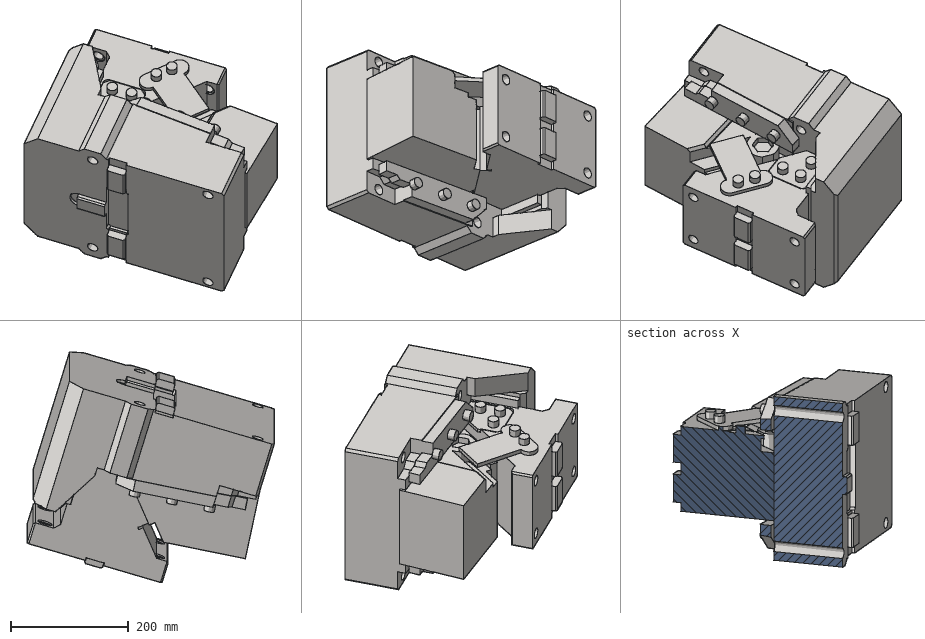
import cadquery as cq
import math


WAY_TILT = 5
PUSH_TILT = 40
UNIT_LENGTH = 378.5
MOVING_HALF = 75.5
HEAD_RADIUS = 9.0
HEAD_HEIGHT = 12.5
KEY_CHAMFER = 2.5
KEY_WIDTH = 32.0
KEY_STANDOUT = 8.7
KEYWAY_DEPTH = 5.0

BASE_LENGTH = 364.0
BASE_HALF = 134.7
LEFT_CHAMFER = 25.0
RIGHT_CHAMFER = 4.5
FLOOR_Y = 125.5
CHEEK_TOP_Y = 219.5
BOSS_START_X, BOSS_END_X = 99.5, 150.0
BOSS_RISE = 10.2
WAY_START_X = BOSS_END_X
WAY_START_Y = 128.0
CHEEK_CREST_X = 41.3
CHEEK_FOOT_X, CHEEK_FOOT_Y = 87.5, 139.5
CHEEK_CHAMFER = 5.0
POCKET_HALF = 98.5
POCKET_LEAD_X = 49.5
POCKET_WALL_X = 55.5
WEAR_PAD_WIDTH = 10.0
WEAR_PAD_TOP_Y = 210.0
WEAR_PAD_HALF = 91
MOUNT_HOLE_DIAMETER = 18.5
MOUNT_HOLE_X = (125, 334.5)
MOUNT_HOLE_Z = 120.0
KEYWAY_X = 169.5
BASE_KEY_START_Z, BASE_KEY_END_Z = 64.5, 116.0
CENTRE_POCKET_WIDTH = 39.7
CENTRE_POCKET_HEIGHT = 118.0
CENTRE_POCKET_DEPTH = 10.0
CENTRE_POCKET_CHAMFER = 4.0

SEAT_START_X = 140
GIB_INNER_Z = 83.3
GIB_OUTER_Z = 133.2
GIB_THICKNESS = 20.0
GIB_START = -24.2
GIB_END = 201.0
GIB_CHAMFER = 30.3
GIB_BOLT_Z = 109.8
GIB_BOLT_STATIONS = (10.5, 75.5, 140.5)
NOTCH_START_X = 295.5
NOTCH_Y = 95.0
BASE_NOTCH_UPPER_Z, BASE_NOTCH_LOWER_Z = 106, 95.5
GIB_NOTCH_UPPER_Z, GIB_NOTCH_LOWER_Z = 109.5, 102
NOTCH_STEP_X = 321.7

DRIVER_TOP_Y = 299.7
FLANGE_START_X, FLANGE_END_X = 15, 255.0
FLANGE_Y = 261
FLANGE_CHAMFER = 3.0
NECK_X = 60.0
NECK_FLARE = 9.5
FLANGE_HOLE_X = 35.2
FLANGE_HOLE_Z = 53.7
FLANGE_HOLE_RADIUS = 9.0
SPOTFACE_RADIUS = 12.5
SPOTFACE_DEPTH = 2.5
DRIVER_KEYWAY_X = 135.0
DRIVER_KEY_TOP_Y = 308.5
DRIVER_KEY_START_Z, DRIVER_KEY_END_Z = 10.2, 60.0
PLATE_THICKNESS = 7.2

HOOK_CENTRE_X, HOOK_CENTRE_Y = 162.0, 245.2
DRIVER_LOWER_FACE = 36.5
DRIVER_UPPER_FACE = 44.5
PUSH_FACE = 56.0
SLIDE_UPPER_FACE = 66.2
SLIDE_LEDGE = 81.0
HOOK_LENGTH = 102
SLIDE_RECESS = 106
WEAR_STRIP_END = -3.8

HOOK_HEAD_RADIUS = 15.5
HOOK_HEAD_SPACING = 61.5
HOOK_WIDTH = 60.5
HOOK_BOLT_SPACING = 30.3

FOOT_PLATE_START_X, FOOT_PLATE_END_X = 69.3, 145.7
FOOT_PLATE_TOP_Y = 206.0
FOOT_PLATE_FACE = 39.7
FOOT_RECESS_Z, FOOT_PLATE_Z = 68, 73.8
FOOT_CORNER = 9.0
FOOT_BOLTS = ((90.0, 186.0), (125.3, 186.0), (90.0, 150.5))

SLIDE_BACK_Y = 218.5
SLIDE_LIP_Y = 99.0
SLIDE_START_X = 153.3
RECESS_Z = 45.5
LEDGE_Z = 38
SHELF_Z = 68
SHELF_BEVEL = 5.0
SHELF_START_X = 216.5
SHELF_END_X, SHELF_END_Y = 266.0, 205.0
PLUG_X, PLUG_Y = 187.0, 147.5
PLUG_RADIUS = 27.5
PLUG_TOP_Z = 68
SOCKET_WIDTH = 36.0
SOCKET_DEPTH = 11.5

WAY_SLOPE = math.tan(math.radians(WAY_TILT))
PUSH = cq.Vector(math.cos(math.radians(PUSH_TILT)), -math.sin(math.radians(PUSH_TILT)), 0)
ACROSS = cq.Vector(-PUSH.y, PUSH.x, 0)
WAY = cq.Vector(math.cos(math.radians(WAY_TILT)), -math.sin(math.radians(WAY_TILT)), 0)
BEYOND = 2 * UNIT_LENGTH


def push_point(along, across):
    """Point in XY given along and across the push direction."""
    return (
        HOOK_CENTRE_X + along * PUSH.x + across * ACROSS.x,
        HOOK_CENTRE_Y + along * PUSH.y + across * ACROSS.y,
    )


def push_point_at_y(along, y):
    """Point of a push face at a given height Y."""
    across = (y - HOOK_CENTRE_Y - along * PUSH.y) / ACROSS.y
    return push_point(along, across)


def push_point_at_x(along, x):
    """Point of a push face at a given X."""
    across = (x - HOOK_CENTRE_X - along * PUSH.x) / ACROSS.x
    return push_point(along, across)


def way_y(x):
    """Height of the tilted way at X."""
    return WAY_START_Y - (x - WAY_START_X) * WAY_SLOPE


def prism_z(points, low, high):
    """Closed XY outline raised from Z = low to Z = high."""
    return cq.Workplane("XY").workplane(offset=low).polyline(points).close().extrude(high - low)


def prism_y(points, low, high):
    """Closed XZ outline carried from Y = low to Y = high."""
    return cq.Workplane("XZ", origin=(0, low, 0)).polyline(points).close().extrude(low - high)


def box(x_range, y_range, z_range):
    """Box between the given limits."""
    (x0, x1), (y0, y1), (z0, z1) = x_range, y_range, z_range
    return cq.Workplane("XY").box(x1 - x0, y1 - y0, z1 - z0, centered=False).translate((x0, y0, z0))


def with_mirror(half):
    """Add the copy mirrored about Z = 0."""
    return half.union(half.mirror("XY"))


def bolt_heads(points, z):
    """Round heads that rise in Z."""
    return cq.Workplane("XY").workplane(offset=z).pushPoints(points).circle(HEAD_RADIUS).extrude(HEAD_HEIGHT)


def base_block():
    boss_half = BASE_HALF + BOSS_RISE
    upper = [
        (0, BASE_HALF - LEFT_CHAMFER),
        (LEFT_CHAMFER, BASE_HALF),
        (BASE_LENGTH - RIGHT_CHAMFER, BASE_HALF),
        (BASE_LENGTH, BASE_HALF - RIGHT_CHAMFER),
    ]
    front_outline = upper + [(x, -z) for x, z in reversed(upper)]
    side_outline = [
        (0, 0),
        (BASE_LENGTH, 0),
        (BASE_LENGTH, way_y(BASE_LENGTH)),
        (WAY_START_X, WAY_START_Y),
        (WAY_START_X, FLOOR_Y),
        (CHEEK_FOOT_X, FLOOR_Y),
        (CHEEK_FOOT_X, CHEEK_FOOT_Y),
        (CHEEK_CREST_X, CHEEK_TOP_Y),
        (CHEEK_CHAMFER, CHEEK_TOP_Y),
        (0, CHEEK_TOP_Y - CHEEK_CHAMFER),
    ]
    block = prism_y(front_outline, 0, CHEEK_TOP_Y)
    block = block.intersect(prism_z(side_outline, -BASE_HALF, BASE_HALF))
    boss_outline = [
        (BOSS_START_X, BASE_HALF),
        (BOSS_START_X + BOSS_RISE, boss_half),
        (BOSS_END_X - BOSS_RISE, boss_half),
        (BOSS_END_X, BASE_HALF),
        (BOSS_END_X, 0),
        (BOSS_START_X, 0),
    ]
    return block.union(with_mirror(prism_y(boss_outline, 0, FLOOR_Y)))


def driver_pocket_wall():
    """Upright wall of the pocket, with a lead-in at its top."""
    inner_x = CHEEK_CREST_X - CHEEK_CHAMFER
    outline = [
        (inner_x, FLOOR_Y),
        (POCKET_WALL_X, FLOOR_Y),
        (POCKET_WALL_X, WEAR_PAD_TOP_Y),
        (POCKET_LEAD_X, CHEEK_TOP_Y),
        (inner_x, CHEEK_TOP_Y),
    ]
    return prism_z(outline, -POCKET_HALF, POCKET_HALF)


def wear_pad():
    """Pad on the pocket wall that guides the driver."""
    return box(
        (POCKET_WALL_X, POCKET_WALL_X + WEAR_PAD_WIDTH),
        (FLOOR_Y, WEAR_PAD_TOP_Y),
        (-WEAR_PAD_HALF, WEAR_PAD_HALF),
    )


def driver_pocket():
    return box((POCKET_WALL_X, CHEEK_FOOT_X), (FLOOR_Y, CHEEK_TOP_Y), (-POCKET_HALF, POCKET_HALF))


def gib_seat():
    """Ledge that carries the way under the gibs' left ends."""
    outline = [
        (SEAT_START_X, FLOOR_Y),
        (WAY_START_X, FLOOR_Y),
        (WAY_START_X, WAY_START_Y),
        (SEAT_START_X, way_y(SEAT_START_X)),
    ]
    return prism_z(outline, -GIB_OUTER_Z, GIB_OUTER_Z)


def gib():
    """Guide rail lying on the way, with chamfered left end and three bolt heads."""
    plane = cq.Plane(origin=(WAY_START_X, WAY_START_Y, 0), xDir=WAY, normal=(-WAY.y, WAY.x, 0))
    outline = [
        (GIB_START, -GIB_INNER_Z),
        (GIB_END, -GIB_INNER_Z),
        (GIB_END, -GIB_OUTER_Z),
        (GIB_START + GIB_CHAMFER, -GIB_OUTER_Z),
        (GIB_START, -GIB_OUTER_Z + GIB_CHAMFER),
    ]
    rail = cq.Workplane(plane).polyline(outline).close().extrude(GIB_THICKNESS)
    return rail.cut(corner_notch(GIB_NOTCH_UPPER_Z, GIB_NOTCH_LOWER_Z)).union(
        cq.Workplane(plane)
        .workplane(offset=GIB_THICKNESS)
        .pushPoints([(station, -GIB_BOLT_Z) for station in GIB_BOLT_STATIONS])
        .circle(HEAD_RADIUS)
        .extrude(HEAD_HEIGHT)
    )


def corner_notch(upper_z, lower_z):
    """Corner relief whose floor steps down at 45 degrees from upper_z to lower_z."""
    outline = [
        (NOTCH_START_X, BEYOND),
        (NOTCH_START_X, upper_z),
        (NOTCH_STEP_X, upper_z),
        (NOTCH_STEP_X + upper_z - lower_z, lower_z),
        (BEYOND, lower_z),
        (BEYOND, BEYOND),
    ]
    return prism_y(outline, NOTCH_Y, CHEEK_TOP_Y)


def mount_holes():
    centres = [(x, z) for x in MOUNT_HOLE_X for z in (-MOUNT_HOLE_Z, MOUNT_HOLE_Z)]
    return cq.Workplane("XZ").pushPoints(centres).circle(MOUNT_HOLE_DIAMETER / 2).extrude(-BEYOND)


def base_recesses():
    """Keyway along Z, round-ended cross keyway and the deeper pocket where they meet."""
    half_width = KEY_WIDTH / 2
    keyway = box(
        (KEYWAY_X - half_width, KEYWAY_X + half_width), (0, KEYWAY_DEPTH), (-BASE_HALF, BASE_HALF)
    )
    cross = box((BOSS_START_X, KEYWAY_X), (0, KEYWAY_DEPTH), (-half_width, half_width))
    round_end = cq.Workplane("XZ").center(BOSS_START_X, 0).circle(half_width).extrude(-KEYWAY_DEPTH)
    pocket = (
        cq.Workplane("XZ")
        .center(KEYWAY_X, 0)
        .rect(CENTRE_POCKET_WIDTH, CENTRE_POCKET_HEIGHT)
        .extrude(-CENTRE_POCKET_DEPTH)
        .edges("|Y")
        .chamfer(CENTRE_POCKET_CHAMFER)
    )
    return keyway.union(cross).union(round_end).union(pocket)


def base_keys():
    half_width = KEY_WIDTH / 2
    depth = (-KEY_STANDOUT, KEYWAY_DEPTH)
    upright = box(
        (KEYWAY_X - half_width, KEYWAY_X + half_width), depth, (BASE_KEY_START_Z, BASE_KEY_END_Z)
    )
    upright = with_mirror(upright.faces("<Y").edges("|Z").chamfer(KEY_CHAMFER))
    cross = box((BOSS_START_X, KEYWAY_X - CENTRE_POCKET_WIDTH / 2), depth, (-half_width, half_width))
    return upright.union(cross.faces("<Y").edges("|X").chamfer(KEY_CHAMFER))


def make_base():
    base = base_block().cut(driver_pocket()).union(driver_pocket_wall()).union(wear_pad())
    base = base.cut(with_mirror(corner_notch(BASE_NOTCH_UPPER_Z, BASE_NOTCH_LOWER_Z)))
    base = base.union(gib_seat()).union(with_mirror(gib()))
    return base.cut(mount_holes()).cut(base_recesses()).union(base_keys())


def driver_block():
    outline = [
        (FLANGE_START_X, DRIVER_TOP_Y),
        (FLANGE_START_X, FLANGE_Y),
        (NECK_X - NECK_FLARE, FLANGE_Y),
        (NECK_X, FLANGE_Y - NECK_FLARE),
        (NECK_X, WEAR_PAD_TOP_Y),
        (POCKET_WALL_X + WEAR_PAD_WIDTH, WEAR_PAD_TOP_Y),
        (POCKET_WALL_X + WEAR_PAD_WIDTH, FLOOR_Y),
        push_point_at_y(DRIVER_LOWER_FACE, FLOOR_Y),
        push_point(DRIVER_LOWER_FACE, 0),
        push_point(DRIVER_UPPER_FACE, 0),
        push_point_at_y(DRIVER_UPPER_FACE, FLANGE_Y),
        (FLANGE_END_X, FLANGE_Y),
        (FLANGE_END_X, DRIVER_TOP_Y),
    ]
    block = prism_z(outline, -MOVING_HALF, MOVING_HALF)
    for end in ("<X", ">X"):
        block = block.faces(end).edges("not(>Y)").chamfer(FLANGE_CHAMFER)
    return block


def flange_holes():
    flange = DRIVER_TOP_Y - FLANGE_Y
    far_x = FLANGE_START_X + FLANGE_END_X - FLANGE_HOLE_X
    centres = [(x, z) for x in (FLANGE_HOLE_X, far_x) for z in (-FLANGE_HOLE_Z, FLANGE_HOLE_Z)]
    underside = cq.Workplane("XZ", origin=(0, FLANGE_Y, 0)).pushPoints(centres)
    holes = underside.circle(FLANGE_HOLE_RADIUS).extrude(-flange)
    return holes.union(underside.circle(SPOTFACE_RADIUS).extrude(-SPOTFACE_DEPTH))


def driver_keyway():
    half_width = KEY_WIDTH / 2
    return box(
        (DRIVER_KEYWAY_X - half_width, DRIVER_KEYWAY_X + half_width),
        (DRIVER_TOP_Y - KEYWAY_DEPTH, DRIVER_TOP_Y),
        (-MOVING_HALF, MOVING_HALF),
    )


def driver_keys():
    half_width = KEY_WIDTH / 2
    key = box(
        (DRIVER_KEYWAY_X - half_width, DRIVER_KEYWAY_X + half_width),
        (DRIVER_TOP_Y - KEYWAY_DEPTH, DRIVER_KEY_TOP_Y),
        (DRIVER_KEY_START_Z, DRIVER_KEY_END_Z),
    )
    return with_mirror(key.faces(">Y").edges("|Z").chamfer(KEY_CHAMFER))


def wear_strip():
    """Strip on the driver's lower face that pushes the slide and stands on the base floor."""
    outline = [
        push_point_at_y(DRIVER_LOWER_FACE, FLOOR_Y),
        push_point_at_y(PUSH_FACE, FLOOR_Y),
        push_point(PUSH_FACE, WEAR_STRIP_END),
        push_point(DRIVER_LOWER_FACE, WEAR_STRIP_END),
    ]
    return prism_z(outline, -MOVING_HALF, RECESS_Z)


def hook_plate():
    """T-shaped plate whose tongue reaches over the slide."""
    plane = cq.Plane(origin=(HOOK_CENTRE_X, HOOK_CENTRE_Y, MOVING_HALF), xDir=PUSH, normal=(0, 0, 1))
    head_length = HOOK_HEAD_SPACING + 2 * HOOK_HEAD_RADIUS
    head = cq.Workplane(plane).slot2D(head_length, 2 * HOOK_HEAD_RADIUS, 90).extrude(PLATE_THICKNESS)
    tongue = cq.Workplane(plane).center(HOOK_LENGTH / 2, 0).rect(HOOK_LENGTH, HOOK_WIDTH)
    bolts = [push_point(0, side * HOOK_BOLT_SPACING / 2) for side in (-1, 1)]
    plate = head.union(tongue.extrude(PLATE_THICKNESS))
    return plate.union(bolt_heads(bolts, MOVING_HALF + PLATE_THICKNESS))


def foot_plate_blank(low, high):
    """The foot plate's outline with square corners."""
    outline = [
        (FOOT_PLATE_START_X, FLOOR_Y),
        push_point_at_y(FOOT_PLATE_FACE, FLOOR_Y),
        push_point_at_x(FOOT_PLATE_FACE, FOOT_PLATE_END_X),
        (FOOT_PLATE_END_X, FOOT_PLATE_TOP_Y),
        (FOOT_PLATE_START_X, FOOT_PLATE_TOP_Y),
    ]
    return prism_z(outline, low, high)


def foot_recess():
    recess = foot_plate_blank(FOOT_RECESS_Z, MOVING_HALF)
    return recess.faces(">Y").edges("|Z").fillet(FOOT_CORNER)


def foot_plate():
    """Plate bolted into the recess at the driver's foot, with chamfered top corners."""
    plate = foot_plate_blank(FOOT_RECESS_Z, FOOT_PLATE_Z)
    plate = plate.faces(">Y").edges("|Z").chamfer(FOOT_CORNER)
    return plate.union(bolt_heads(FOOT_BOLTS, FOOT_PLATE_Z))


def make_driver():
    driver = driver_block().cut(flange_holes()).cut(driver_keyway()).union(driver_keys())
    driver = driver.union(wear_strip()).union(hook_plate())
    return driver.cut(foot_recess()).union(foot_plate())


def slide_block():
    back_corner = push_point(SLIDE_UPPER_FACE, 0)
    rise = SLIDE_BACK_Y - back_corner[1] + (UNIT_LENGTH - back_corner[0]) * WAY_SLOPE
    across = rise / (ACROSS.y + ACROSS.x * WAY_SLOPE)
    outline = [
        (SLIDE_START_X, way_y(SLIDE_START_X)),
        push_point_at_x(PUSH_FACE, SLIDE_START_X),
        push_point(PUSH_FACE, 0),
        back_corner,
        push_point(SLIDE_UPPER_FACE, across),
        (UNIT_LENGTH, SLIDE_BACK_Y),
        (UNIT_LENGTH - (SLIDE_BACK_Y - SLIDE_LIP_Y) * WAY_SLOPE, SLIDE_LIP_Y),
        (BASE_LENGTH, SLIDE_LIP_Y),
        (BASE_LENGTH, way_y(BASE_LENGTH)),
    ]
    return prism_z(outline, -MOVING_HALF, MOVING_HALF)


def step_cutter(edge, direction, floor_z, bevel):
    """Everything above floor_z behind an upright face at `edge`, with a bevel at the slide's top."""
    plane = cq.Plane(origin=(*edge, 0), xDir=direction, normal=(direction.y, -direction.x, 0))
    bevel_start = MOVING_HALF - bevel
    outline = [
        (-BEYOND, floor_z),
        (0, floor_z),
        (0, bevel_start),
        (BEYOND, bevel_start + BEYOND),
        (-BEYOND, bevel_start + BEYOND),
    ]
    return cq.Workplane(plane).polyline(outline).close().extrude(BEYOND, both=True)


def slide_plug():
    """Round plug with a hexagon socket; the slide's own outline trims its rim."""
    plug = cq.Workplane("XY", origin=(PLUG_X, PLUG_Y, LEDGE_Z)).circle(PLUG_RADIUS)
    socket = cq.Workplane("XY", origin=(PLUG_X, PLUG_Y, PLUG_TOP_Z)).transformed(rotate=(0, 0, 30))
    return plug.extrude(PLUG_TOP_Z - LEDGE_Z).cut(socket.polygon(6, SOCKET_WIDTH).extrude(-SOCKET_DEPTH))


def make_slide():
    slide = slide_block()
    slide = slide.cut(step_cutter((SHELF_END_X, SHELF_END_Y), WAY, SHELF_Z, SHELF_BEVEL))
    slide = slide.cut(step_cutter((SHELF_START_X, SHELF_END_Y), WAY, RECESS_Z, 0))
    slide = slide.cut(step_cutter(push_point(SLIDE_RECESS, 0), PUSH, RECESS_Z, SHELF_BEVEL))
    slide = slide.cut(step_cutter(push_point(SLIDE_LEDGE, 0), PUSH, LEDGE_Z, 0))
    return slide.union(slide_plug().intersect(slide_block()))


base = make_base().solids()
driver = make_driver().solids()
slide = make_slide().solids()

result = cq.Compound.makeCompound([base.val(), driver.val(), slide.val()])